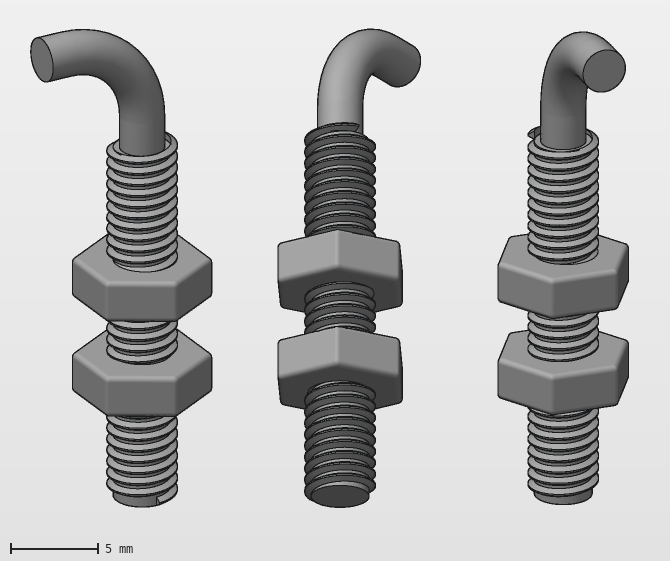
import cadquery as cq
import math

core_radius = 1.67
core_height = 22.0

counted_turns = 10
counted_turns_rise = 7.0
pitch = counted_turns_rise / counted_turns
thread_radius = 2.03
thread_rise = core_height
crest_width = 0.1
flank_half_angle = math.radians(30)
thread_root_overlap = 0.015
thread_start_height = 0.27

rod_radius = 1.3
rod_lower_length = 2.0
bend_radius = 5.0
rod_end_length = 1.6

nut_sides = 6
nut_across_flats = 7.0
nut_height = 2.5
nut_edge_radius = 0.3
nut_bottoms = (6.48, 12.48)


def make_core():
    return cq.Workplane("XY").circle(core_radius).extrude(core_height)


def make_thread():
    """Helical ridge whose root sinks into the core so that the two join."""
    root_radius = core_radius - thread_root_overlap
    crest_half = crest_width / 2
    root_half = crest_half + (thread_radius - root_radius) * math.tan(flank_half_angle)
    end_angle = 360 * thread_rise / pitch
    profile = [
        (root_radius, thread_start_height - root_half),
        (thread_radius, thread_start_height - crest_half),
        (thread_radius, thread_start_height + crest_half),
        (root_radius, thread_start_height + root_half),
    ]
    helices = [
        cq.Wire.makeHelix(pitch, thread_rise, radius).moved(cq.Location((0, 0, height)))
        for radius, height in profile
    ]
    sides = [cq.Face.makeRuledSurface(helices[i - 1], helices[i]) for i in range(len(helices))]
    corners = [cq.Vector(radius, 0, height) for radius, height in profile]
    start_outline = cq.Wire.makePolygon(corners, close=True)
    start_cap = cq.Face.makeFromWires(start_outline)
    end_cap = start_cap.moved(cq.Location((0, 0, thread_rise), (0, 0, 1), end_angle))
    shell = cq.Shell.makeShell(sides + [start_cap, end_cap])
    return cq.Workplane(obj=cq.Solid.makeSolid(shell))


def make_runout_clearance():
    """Cylinder above the core that the root of the last thread turn must leave open."""
    return cq.Workplane("XY").workplane(offset=core_height).circle(core_radius).extrude(2 * pitch)


def make_rod():
    bend_start = core_height + rod_lower_length
    arm_height = bend_start + bend_radius
    middle = bend_radius * math.sqrt(0.5)
    path = (
        cq.Workplane("YZ")
        .moveTo(0, core_height)
        .lineTo(0, bend_start)
        .threePointArc((middle - bend_radius, bend_start + middle), (-bend_radius, arm_height))
        .lineTo(-bend_radius - rod_end_length, arm_height)
    )
    return cq.Workplane("XY").workplane(offset=core_height).circle(rod_radius).sweep(path)


def make_nut(bottom):
    across_corners = nut_across_flats / math.cos(math.pi / nut_sides)
    return (
        cq.Workplane("XY")
        .workplane(offset=bottom)
        .polygon(nut_sides, across_corners)
        .extrude(nut_height)
        .edges()
        .fillet(nut_edge_radius)
    )


stud = make_core().union(make_thread()).cut(make_runout_clearance())
result = stud.union(make_rod())
for nut_bottom in nut_bottoms:
    result = result.union(make_nut(nut_bottom))